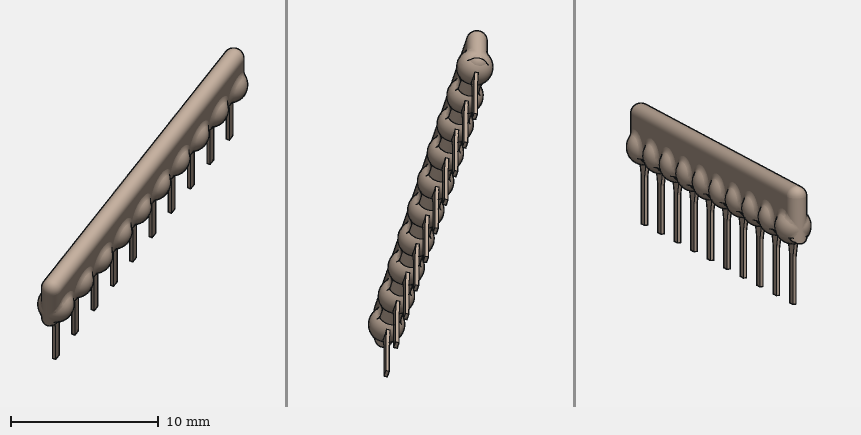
import cadquery as cq

pin_count = 10
pitch = 2.54
ball_radius = 1.24
row_length = (pin_count - 1) * pitch
pin_positions = [index * pitch - row_length / 2 for index in range(pin_count)]

total_height = 8.38
body_bottom = 4.48
ball_z = 5.45
shoulder_bottom = 3.35
shoulder_top = 4.25

body_length = 25.35
body_width = 1.42
half_width = body_width / 2
straight_length = body_length - body_width
end_axis_y = straight_length / 2
side_top = total_height - half_width
arch_rise = 0.41
arch_radius = (half_width**2 + arch_rise**2) / (2 * arch_rise)
side_bottom = body_bottom + arch_rise
blend_radius = 0.5

pin_width = 0.5
pin_thickness = 0.25
shoulder_width = 0.92


def half_profile(arched_bottom):
    """Right half of the bar's cross-section, closed along the centre line."""
    outline = cq.Workplane("XZ").moveTo(0, body_bottom)
    if arched_bottom:
        outline = outline.radiusArc((half_width, side_bottom), -arch_radius)
    else:
        outline = outline.lineTo(half_width, body_bottom)
    outline = outline.lineTo(half_width, side_top)
    return outline.radiusArc((0, total_height), -half_width).close()


def extruded_bar(length):
    """Arched bar with square ends, centred on the Y origin."""
    half = half_profile(True).extrude(length / 2, both=True)
    return half.union(half.mirror("YZ"))


def turned_end(arched_bottom):
    """Round column topped by a dome, with a domed or a flat underside."""
    return half_profile(arched_bottom).revolve(360, (0, 0, 0), (0, 1, 0))


def make_body():
    """The underside is domed at the +Y end, but its arch runs straight out through the -Y end."""
    domed_end = turned_end(True)
    arched_end = turned_end(False).intersect(extruded_bar(2 * body_width))
    body = extruded_bar(straight_length)
    body = body.union(domed_end.translate((0, end_axis_y, 0)))
    return body.union(arched_end.translate((0, -end_axis_y, 0)))


def make_ball(y):
    """Ball with its poles along Y and its seam on top, so both are buried in the bar."""
    ball = cq.Workplane("XY").sphere(ball_radius)
    ball = ball.rotate((0, 0, 0), (0, 0, 1), -90).rotate((0, 0, 0), (1, 0, 0), -90)
    return ball.translate((0, y, ball_z))


def lies_on_ball(edge, y):
    """True where an edge follows the surface of the ball at y."""
    tolerance = 0.001
    centre = cq.Vector(0, y, ball_z)
    samples = [edge.positionAt(fraction) for fraction in (0, 0.3, 0.6, 1)]
    return all(abs((point - centre).Length - ball_radius) < tolerance for point in samples)


def make_blended_sides():
    """Upright walls with the balls blended into them, kept only above the spring line of the arch."""
    sides = cq.Workplane("XY").slot2D(body_length, body_width, 90).extrude(side_top)
    for y in pin_positions:
        sides = sides.union(make_ball(y))
    joints = [
        edge for edge in sides.edges().vals()
        if any(lies_on_ball(edge, y) for y in pin_positions)
    ]
    sides = sides.newObject(joints).fillet(blend_radius)
    below_arch = cq.Workplane("XY").rect(2 * body_length, 2 * body_length).extrude(side_bottom)
    return sides.cut(below_arch)


def make_pin(y):
    """Flat pin that widens to a shoulder and ends inside its ball."""
    right_side = [
        (pin_width / 2, 0),
        (pin_width / 2, shoulder_bottom),
        (shoulder_width / 2, shoulder_top),
        (shoulder_width / 2, ball_z),
    ]
    left_side = [(-across, height) for across, height in reversed(right_side)]
    blank = cq.Workplane("YZ").polyline(right_side + left_side).close()
    return blank.extrude(pin_thickness / 2, both=True).translate((0, y, 0))


result = make_body().union(make_blended_sides())
for pin_y in pin_positions:
    result = result.union(make_ball(pin_y)).union(make_pin(pin_y))